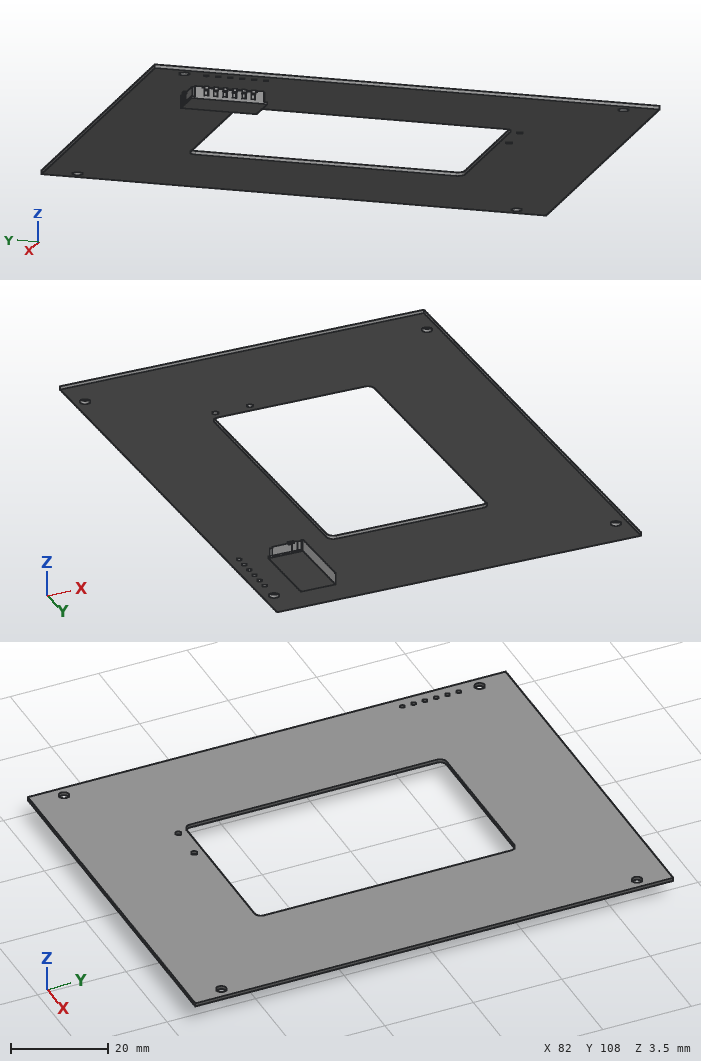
import cadquery as cq

BOARD_X = 82.0
BOARD_Y = 108.0
BOARD_THICKNESS = 0.8

WINDOW_X = 36.1
WINDOW_Y = 58.8
WINDOW_RADIUS = 1.5

MOUNT_HOLE_DIAMETER = 2.2
MOUNT_INSET_X = 2.5
MOUNT_INSET_Y = 7.0

HEADER_HOLE_DIAMETER = 1.0
HEADER_HOLE_COUNT = 6
HEADER_ROW_LENGTH = 12.7
HEADER_PITCH = HEADER_ROW_LENGTH / (HEADER_HOLE_COUNT - 1)
HEADER_X = -38.5
HEADER_CENTER_Y = 35.9

PAIR_HOLE_DIAMETER = 1.3
PAIR_SPACING = 7.8
PAIR_CENTER_X = -12.3
PAIR_CENTER_Y = -31.4

TOTAL_HEIGHT = 3.5
HOUSING_HEIGHT = TOTAL_HEIGHT - BOARD_THICKNESS
HOUSING_MIN_X = -30.7
HOUSING_LENGTH_X = 7.8
HOUSING_LENGTH_Y = 16.2
HOUSING_CENTER_Y = 35.0
LIP_HEIGHT = 0.4
LIP_STEP = 0.3
RIM_THICKNESS = 0.3
WALL_HEIGHT = HOUSING_HEIGHT - LIP_HEIGHT
CORNER_NOTCH = 0.8

GROOVE_LENGTH = 11.8
GROOVE_DEPTH = 0.3
GROOVE_HEIGHT = 0.2

LEAD_COUNT = 6
LEAD_CENTER_Y = 34.9
LEAD_ROW_LENGTH = 10.0
LEAD_PITCH = LEAD_ROW_LENGTH / (LEAD_COUNT - 1)
LEAD_WIDTH = 0.9
FOOT_REACH = 0.3
FOOT_HEIGHT = 0.6
SLOT_DEPTH = 0.6
SLOT_HEIGHT = 1.8

TAB_MIN_X = -26.2
TAB_LENGTH_X = 1.3
TAB_HEIGHT = 0.3
TAB_REACH = 0.3
STRAP_MIN_X = -25.5
STRAP_LENGTH_X = 1.3
STRAP_THICKNESS = 0.2


def box_below_board(min_x, length_x, center_y, length_y, height):
    """Box whose top face lies on the underside of the board."""
    return (
        cq.Workplane("XY")
        .center(min_x + length_x / 2, center_y)
        .rect(length_x, length_y)
        .extrude(-height)
    )


def row_positions(count, pitch, center):
    """Evenly pitched positions, centred on the given one."""
    return [center + (i - (count - 1) / 2) * pitch for i in range(count)]


def drill(body, points, diameter):
    """Cut holes through the board at the given points."""
    holes = cq.Workplane("XY").pushPoints(points).circle(diameter / 2).extrude(BOARD_THICKNESS)
    return body.cut(holes)


def make_board():
    mount_x = BOARD_X / 2 - MOUNT_INSET_X
    mount_y = BOARD_Y / 2 - MOUNT_INSET_Y
    window = (
        cq.Workplane("XY")
        .rect(WINDOW_X, WINDOW_Y)
        .extrude(BOARD_THICKNESS)
        .edges("|Z")
        .fillet(WINDOW_RADIUS)
    )
    board = cq.Workplane("XY").rect(BOARD_X, BOARD_Y).extrude(BOARD_THICKNESS).cut(window)

    mounts = [(sx * mount_x, sy * mount_y) for sx in (-1, 1) for sy in (-1, 1)]
    header = [(HEADER_X, y) for y in row_positions(HEADER_HOLE_COUNT, HEADER_PITCH, HEADER_CENTER_Y)]
    pair = [(x, PAIR_CENTER_Y) for x in row_positions(2, PAIR_SPACING, PAIR_CENTER_X)]
    board = drill(board, mounts, MOUNT_HOLE_DIAMETER)
    board = drill(board, header, HEADER_HOLE_DIAMETER)
    return drill(board, pair, PAIR_HOLE_DIAMETER)


def make_housing():
    """Housing block with ends recessed between a lip and a rim, notched -X corners and a lead groove."""
    housing = box_below_board(
        HOUSING_MIN_X, HOUSING_LENGTH_X, HOUSING_CENTER_Y, HOUSING_LENGTH_Y, HOUSING_HEIGHT
    )
    step_length = HOUSING_LENGTH_X - RIM_THICKNESS
    for side in (-1, 1):
        end_y = HOUSING_CENTER_Y + side * HOUSING_LENGTH_Y / 2
        step_y = end_y - side * LIP_STEP / 2
        notch_y = end_y - side * CORNER_NOTCH / 2
        step = box_below_board(HOUSING_MIN_X, step_length, step_y, LIP_STEP, WALL_HEIGHT)
        notch = box_below_board(HOUSING_MIN_X, CORNER_NOTCH, notch_y, CORNER_NOTCH, WALL_HEIGHT)
        housing = housing.cut(step).cut(notch)
    groove = box_below_board(HOUSING_MIN_X, GROOVE_DEPTH, LEAD_CENTER_Y, GROOVE_LENGTH, GROOVE_HEIGHT)
    return housing.cut(groove)


def make_slot(center_y):
    return box_below_board(HOUSING_MIN_X, SLOT_DEPTH, center_y, LEAD_WIDTH, SLOT_HEIGHT)


def make_lead(center_y):
    foot_min_x = HOUSING_MIN_X - FOOT_REACH
    return box_below_board(foot_min_x, FOOT_REACH + SLOT_DEPTH, center_y, LEAD_WIDTH, FOOT_HEIGHT)


def make_anchor(side):
    """Anchor on one end: a tab under the board and a strap on the wall above the lip."""
    wall_y = HOUSING_CENTER_Y + side * (HOUSING_LENGTH_Y / 2 - LIP_STEP)
    tab_width = LIP_STEP + TAB_REACH
    tab_y = wall_y + side * tab_width / 2
    strap_y = wall_y + side * STRAP_THICKNESS / 2
    tab = box_below_board(TAB_MIN_X, TAB_LENGTH_X, tab_y, tab_width, TAB_HEIGHT)
    strap = box_below_board(STRAP_MIN_X, STRAP_LENGTH_X, strap_y, STRAP_THICKNESS, WALL_HEIGHT)
    return tab.union(strap)


def make_connector():
    connector = make_housing()
    for lead_y in row_positions(LEAD_COUNT, LEAD_PITCH, LEAD_CENTER_Y):
        connector = connector.cut(make_slot(lead_y)).union(make_lead(lead_y))
    for side in (-1, 1):
        connector = connector.union(make_anchor(side))
    return connector


board = make_board()
connector = make_connector()
result = cq.Compound.makeCompound([board.val(), connector.val()])